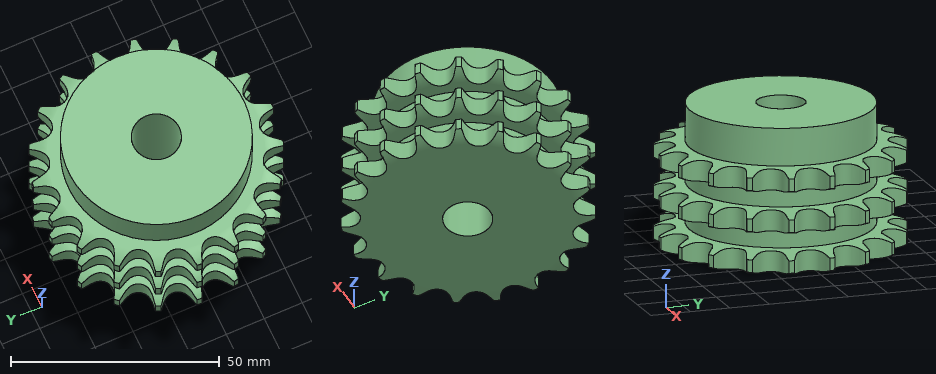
import cadquery as cq
import math


teeth = 19
chain_pitch = 9.525
roller_diameter = 6.35
outside_diameter = 61.3
rows = 3
row_pitch = 10.2
tooth_width = 5.2
relief_start_radius = 26.2
relief_arc_radius = 10.0
hub_diameter = 46.0
bore_diameter = 12.0
total_height = 35.0
first_tooth_angle = math.radians(-90)

half_pitch_angle = math.pi / teeth
pitch_radius = chain_pitch / 2 / math.sin(half_pitch_angle)
outside_radius = outside_diameter / 2
seat_clearance = 0.0381
seat_radius = 0.5025 * roller_diameter + seat_clearance
flank_center_distance = 0.8 * roller_diameter
flank_radius = seat_radius + flank_center_distance
tip_center_distance = 1.4 * roller_diameter
seat_end_angle = math.radians(35 + 60 / teeth)
flank_sweep_angle = math.radians(18 - 56 / teeth)
flank_end_angle = seat_end_angle - flank_sweep_angle


def offset(point, distance, angle):
    """Point at a distance from another one, at an angle from the lateral direction."""
    return (point[0] + distance * math.cos(angle), point[1] + distance * math.sin(angle))


def flank_points():
    """Points of one side of a tooth gap as (lateral, radial), from the gap root to the tooth tip.

    The stretches are: seat arc, concave flank arc, straight, convex tip arc.
    Each arc is given by a middle point and an end point.
    """
    roller_center = (0, pitch_radius)
    flank_center = offset(roller_center, -flank_center_distance, -seat_end_angle)
    tip_center = offset(roller_center, tip_center_distance, -half_pitch_angle)

    root = offset(roller_center, seat_radius, -math.pi / 2)
    seat_middle = offset(roller_center, seat_radius, -(math.pi / 2 + seat_end_angle) / 2)
    seat_end = offset(roller_center, seat_radius, -seat_end_angle)
    flank_middle = offset(flank_center, flank_radius, -(seat_end_angle + flank_end_angle) / 2)
    flank_end = offset(flank_center, flank_radius, -flank_end_angle)

    tip_arc_radius = ((tip_center[0] - flank_end[0]) * math.cos(flank_end_angle)
                      - (tip_center[1] - flank_end[1]) * math.sin(flank_end_angle))
    tip_arc_start_angle = math.pi - flank_end_angle
    straight_end = offset(tip_center, tip_arc_radius, tip_arc_start_angle)

    tip_center_radius = math.hypot(*tip_center)
    tip_center_direction = math.atan2(tip_center[1], tip_center[0])
    angle_to_tip = math.acos((outside_radius**2 + tip_center_radius**2 - tip_arc_radius**2)
                             / (2 * outside_radius * tip_center_radius))
    tip = offset((0, 0), outside_radius, tip_center_direction + angle_to_tip)
    tip_arc_end_angle = math.atan2(tip[1] - tip_center[1], tip[0] - tip_center[0])
    tip_middle = offset(tip_center, tip_arc_radius, (tip_arc_start_angle + tip_arc_end_angle) / 2)

    return root, seat_middle, seat_end, flank_middle, flank_end, straight_end, tip_middle, tip


def make_toothed_prism():
    """Sprocket outline with all its teeth, extruded to the tooth width."""
    flank = flank_points()

    def place(point, gap, side):
        """Flank point moved to the numbered gap, on its rising (+1) or falling (-1) side."""
        gap_angle = first_tooth_angle + (2 * gap + 1) * half_pitch_angle
        angle = gap_angle + side * math.atan2(point[0], point[1])
        return offset((0, 0), math.hypot(*point), angle)

    outline = cq.Workplane("XY").moveTo(*place(flank[0], 0, 1))
    for gap in range(teeth):
        (_, seat_middle, seat_end, flank_middle, flank_end,
         straight_end, tip_middle, tip) = [place(point, gap, 1) for point in flank]
        outline = outline.threePointArc(seat_middle, seat_end)
        outline = outline.threePointArc(flank_middle, flank_end)
        outline = outline.lineTo(*straight_end)
        outline = outline.threePointArc(tip_middle, tip)

        tooth_angle = first_tooth_angle + (2 * gap + 2) * half_pitch_angle
        tip_crest = offset((0, 0), outside_radius, tooth_angle)
        (root, seat_middle, seat_end, flank_middle, flank_end,
         straight_end, tip_middle, tip) = [place(point, gap + 1, -1) for point in flank]
        outline = outline.threePointArc(tip_crest, tip)
        outline = outline.threePointArc(tip_middle, straight_end)
        outline = outline.lineTo(*flank_end)
        outline = outline.threePointArc(flank_middle, seat_end)
        outline = outline.threePointArc(seat_middle, root)
    return outline.close().extrude(tooth_width)


def relief_depth(radius):
    """How far a tooth side has curved inwards at a radius."""
    run = radius - relief_start_radius
    return relief_arc_radius - math.sqrt(relief_arc_radius**2 - run**2)


def make_blank():
    """Disc whose rim narrows along an arc on both sides."""
    middle_radius = (relief_start_radius + outside_radius) / 2
    middle_depth = relief_depth(middle_radius)
    tip_depth = relief_depth(outside_radius)
    return (
        cq.Workplane("XZ")
        .lineTo(relief_start_radius, 0)
        .threePointArc((middle_radius, middle_depth), (outside_radius, tip_depth))
        .lineTo(outside_radius, tooth_width - tip_depth)
        .threePointArc((middle_radius, tooth_width - middle_depth), (relief_start_radius, tooth_width))
        .lineTo(0, tooth_width)
        .close()
        .revolve(360, (0, 0, 0), (0, 1, 0))
    )


def make_sprocket():
    """Hub with evenly spaced tooth rows, the first flush with its base, and a through bore."""
    tooth_row = make_toothed_prism().intersect(make_blank())
    sprocket = cq.Workplane("XY").circle(hub_diameter / 2).extrude(total_height)
    for row in range(rows):
        sprocket = sprocket.union(tooth_row.translate((0, 0, row * row_pitch)))
    bore = cq.Workplane("XY").circle(bore_diameter / 2).extrude(total_height)
    return sprocket.cut(bore)


result = make_sprocket()